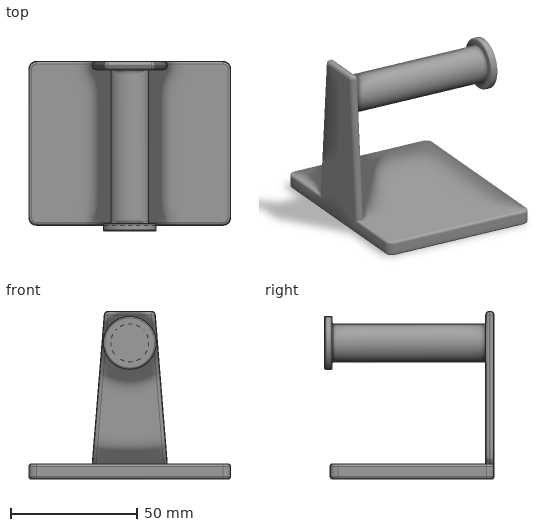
import cadquery as cq

base_width = 80.0
base_depth = 65.0
base_height = 6.0
base_corner_radius = 3.0
base_edge_radius = 1.0

total_height = 66.5
post_foot_width = 29.8
post_top_width = 20.0
post_thickness = 3.3
post_edge_radius = 1.5

total_depth = 67.2
bar_diameter = 15.0
bar_height = 54.0
flange_diameter = 21.0
flange_thickness = 3.0
flange_edge_radius = 0.6
flange_root_radius = 0.5
selection_margin = 0.1

back_y = base_depth / 2
post_front_y = back_y - post_thickness
flange_front_y = back_y - total_depth
flange_back_y = flange_front_y + flange_thickness
bar_length = post_front_y - flange_front_y


def make_base():
    plate = cq.Workplane("XY").box(base_width, base_depth, base_height, centered=(True, True, False))
    plate = plate.edges("|Z").fillet(base_corner_radius)
    return plate.faces("<Z or >Z").edges().fillet(base_edge_radius)


def make_post():
    """Tapered plate, rounded on all edges above its foot and sunk past the base's edge round."""
    side_slope = (post_foot_width - post_top_width) / 2 / (total_height - base_height)
    sunk_z = base_height - base_edge_radius
    half_sunk = post_foot_width / 2 + side_slope * base_edge_radius
    half_top = post_top_width / 2
    outline = [
        (-half_sunk, sunk_z),
        (half_sunk, sunk_z),
        (half_top, total_height),
        (-half_top, total_height),
    ]
    plate = cq.Workplane("XZ", origin=(0, back_y, 0)).polyline(outline).close().extrude(post_thickness)
    return plate.edges("not <Z").fillet(post_edge_radius)


def make_bar():
    """Round bar and flange, with a small round where they meet."""
    bar = cq.Workplane("XZ", origin=(0, post_front_y, bar_height)).circle(bar_diameter / 2).extrude(bar_length)
    flange = (
        cq.Workplane("XZ", origin=(0, flange_back_y, bar_height))
        .circle(flange_diameter / 2)
        .extrude(flange_thickness)
        .edges()
        .fillet(flange_edge_radius)
    )
    root_region = cq.selectors.BoxSelector(
        (-bar_diameter, flange_back_y - selection_margin, bar_height - bar_diameter),
        (bar_diameter, flange_back_y + selection_margin, bar_height + bar_diameter),
        boundingbox=True,
    )
    return bar.union(flange).edges(root_region).fillet(flange_root_radius)


result = make_base().union(make_post()).union(make_bar())